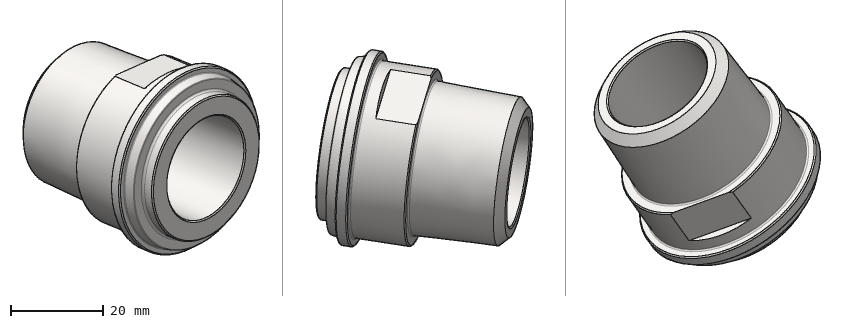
import cadquery as cq
import math

total_length = 41.5
bore_radius = 12.0
bore_chamfer = 0.3
edge_chamfer = 0.3
corner_fillet = 0.35

nose_chamfer = 2.05
neck_start_radius = 16.4
neck_end_radius = 17.0

body_start = 20.95
body_radius = 39.0 / 2

collar_start = 33.45
collar_width = 2.7
collar_end = collar_start + collar_width
collar_radius = 21.5

ring_end = 38.6
ring_start_radius = 20.05
ring_end_radius = 19.55
ring_rounding = 0.17
ring_slope = math.atan2(ring_start_radius - ring_end_radius, ring_end - collar_end)

spigot_radius = 33.5 / 2
spigot_fillet = 0.5

flat_height = 17.97
flat_end = 30.1
wall_slope = 0.21
cutter_height = 4.3
cutter_overrun = 0.1
cutter_width = 2 * collar_radius


def polar_point(center, radius, angle):
    """Point at the given distance and angle (degrees from +X) from a center."""
    x, r = center
    turn = math.radians(angle)
    return (x + radius * math.cos(turn), r + radius * math.sin(turn))


def add_rounding(profile, center, radius, start_angle, end_angle):
    """Line to a corner rounding, then follow its arc to the end angle."""
    start = polar_point(center, radius, start_angle)
    middle = polar_point(center, radius, (start_angle + end_angle) / 2)
    end = polar_point(center, radius, end_angle)
    return profile.lineTo(*start).threePointArc(middle, end)


def cone_offset_radius(x, offset):
    """Radius at x of the ring cone, shifted outward along its normal."""
    cone_radius = ring_start_radius - (x - collar_end) * math.tan(ring_slope)
    return cone_radius + offset / math.cos(ring_slope)


def make_turned_body():
    """Revolve the outer profile and the chamfered bore about X."""
    profile = (
        cq.Workplane("XY")
        .moveTo(bore_chamfer, bore_radius)
        .lineTo(0, bore_radius + bore_chamfer)
        .lineTo(0, neck_start_radius - nose_chamfer)
        .lineTo(nose_chamfer, neck_start_radius)
    )
    neck_center = (body_start - corner_fillet, neck_end_radius + corner_fillet)
    profile = add_rounding(profile, neck_center, corner_fillet, -90, 0)
    profile = (
        profile.lineTo(body_start, body_radius - edge_chamfer)
        .lineTo(body_start + edge_chamfer, body_radius)
    )
    collar_center = (collar_start - corner_fillet, body_radius + corner_fillet)
    profile = add_rounding(profile, collar_center, corner_fillet, -90, 0)
    profile = (
        profile.lineTo(collar_start, collar_radius - edge_chamfer)
        .lineTo(collar_start + edge_chamfer, collar_radius)
        .lineTo(collar_end - edge_chamfer, collar_radius)
        .lineTo(collar_end, collar_radius - edge_chamfer)
    )
    cone_normal = 90 - math.degrees(ring_slope)
    root_x = collar_end + ring_rounding
    root_center = (root_x, cone_offset_radius(root_x, ring_rounding))
    profile = add_rounding(profile, root_center, ring_rounding, 180, 180 + cone_normal)
    rim_x = ring_end - ring_rounding
    rim_center = (rim_x, cone_offset_radius(rim_x, -ring_rounding))
    profile = add_rounding(profile, rim_center, ring_rounding, cone_normal, 0)
    spigot_center = (ring_end + spigot_fillet, spigot_radius + spigot_fillet)
    profile = add_rounding(profile, spigot_center, spigot_fillet, 180, 270)
    profile = (
        profile.lineTo(total_length - edge_chamfer, spigot_radius)
        .lineTo(total_length, spigot_radius - edge_chamfer)
        .lineTo(total_length, bore_radius + bore_chamfer)
        .lineTo(total_length - bore_chamfer, bore_radius)
        .close()
    )
    return profile.revolve(360, (0, 0, 0), (1, 0, 0))


def make_flat_cutter():
    """Prism that removes the body above the upper wrench flat."""
    cutter_start = body_start - cutter_overrun
    cutter_top = flat_height + cutter_height
    return (
        cq.Workplane("XZ")
        .moveTo(cutter_start, flat_height)
        .lineTo(flat_end, flat_height)
        .lineTo(flat_end + wall_slope * cutter_height, cutter_top)
        .lineTo(cutter_start, cutter_top)
        .close()
        .extrude(cutter_width / 2, both=True)
    )


upper_cutter = make_flat_cutter()
lower_cutter = upper_cutter.mirror("XY")
result = make_turned_body().cut(upper_cutter).cut(lower_cutter)